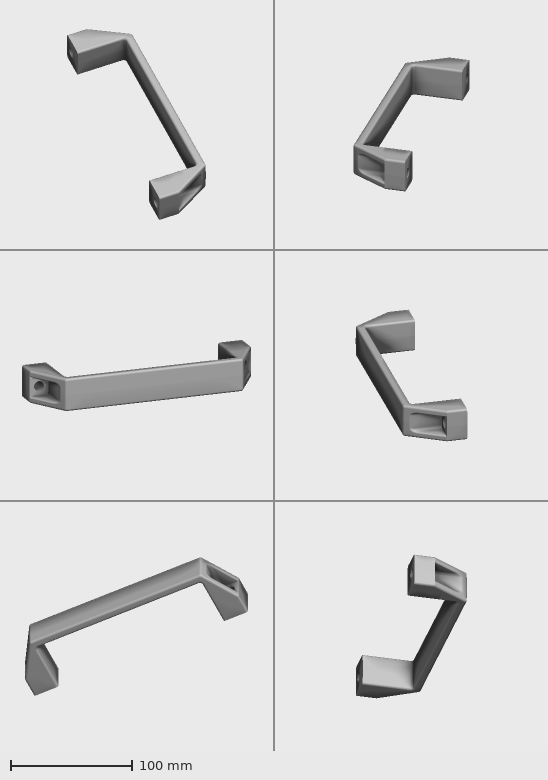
import cadquery as cq
import math

LENGTH = 196.0
DEPTH = 50.0
WIDTH = 28.0

FOOT_LENGTH = 22.7
FOOT_SIDE = 17.5
SLOPE_RUN = 19.6
GRIP_THICKNESS = 7.6

DRAFT_ANGLE = 1.0
EDGE_RADIUS = 2.0
INNER_CORNER_RADIUS = 2.5
SHOULDER_RADIUS = 2.4

RECESS_FLOOR_X = 16.7
RECESS_WIDTH = 17.2
RECESS_FLOOR_RADIUS = 3.0
RECESS_RIM_RADIUS = 1.2

HOLE_DIAMETER = 8.6
HOLE_INSET = 8.5

HALF_LENGTH = LENGTH / 2
HALF_WIDTH = WIDTH / 2
MOUNTING_FACE_Y = -DEPTH / 2
BACK_Y = DEPTH / 2
SHOULDER_Y = MOUNTING_FACE_Y + FOOT_SIDE
GRIP_INNER_Y = BACK_Y - GRIP_THICKNESS
INNER_X = HALF_LENGTH - FOOT_LENGTH
SLOPE_TOP_X = HALF_LENGTH - SLOPE_RUN
DRAFT_OFFSET = HALF_WIDTH * math.tan(math.radians(DRAFT_ANGLE))
RIM_CLEARANCE = 0.2
OVERRUN = 9.8
OUTLINE_END_Y = MOUNTING_FACE_Y - OVERRUN
CORNER_REACH = 0.5


def round_corners(half, corner_x, corner_y, radius):
    """Round the two upright corner edges at X = -corner_x and X = +corner_x."""
    for x in (-corner_x, corner_x):
        corner = cq.selectors.BoxSelector(
            (x - CORNER_REACH, corner_y - CORNER_REACH, CORNER_REACH),
            (x + CORNER_REACH, corner_y + CORNER_REACH, HALF_WIDTH - CORNER_REACH),
        )
        half = half.edges(corner).fillet(radius)
    return half


def upper_half():
    """Upper half of the handle, widest (or with the smallest opening) at the mid-plane."""
    outer = (
        cq.Workplane("XY")
        .polyline([
            (-HALF_LENGTH, OUTLINE_END_Y),
            (-HALF_LENGTH, SHOULDER_Y),
            (-SLOPE_TOP_X, BACK_Y),
            (SLOPE_TOP_X, BACK_Y),
            (HALF_LENGTH, SHOULDER_Y),
            (HALF_LENGTH, OUTLINE_END_Y),
        ])
        .close()
        .extrude(HALF_WIDTH, taper=DRAFT_ANGLE)
    )
    outer = round_corners(outer, SLOPE_TOP_X, BACK_Y, SHOULDER_RADIUS)

    opening_depth = 2 * (GRIP_INNER_Y + DRAFT_OFFSET - MOUNTING_FACE_Y)
    opening = (
        cq.Workplane("XY", origin=(0, MOUNTING_FACE_Y, HALF_WIDTH))
        .rect(2 * (INNER_X + DRAFT_OFFSET), opening_depth)
        .extrude(-HALF_WIDTH, taper=DRAFT_ANGLE)
    )
    opening = round_corners(opening, INNER_X, GRIP_INNER_Y, INNER_CORNER_RADIUS)

    below_feet = cq.Workplane("XY").box(2 * LENGTH, DEPTH, 2 * WIDTH).translate((0, -DEPTH, 0))
    half = outer.cut(opening).cut(below_feet)
    return half.faces(">Z").edges("not(<Y)").fillet(EDGE_RADIUS)


def recess(side):
    """Cutter for the recess in one shoulder; it runs out through the slope above its wall."""
    return (
        cq.Workplane("XY", origin=(side * (HALF_LENGTH + OVERRUN), (SHOULDER_Y + BACK_Y) / 2, 0))
        .box(2 * (OVERRUN + RECESS_FLOOR_X), BACK_Y - SHOULDER_Y, RECESS_WIDTH)
        .edges("|Y")
        .fillet(RECESS_FLOOR_RADIUS)
    )


def round_recess_rim(handle, side):
    """Round the edges where the recess breaks through the slope."""
    near_side = side * (HALF_LENGTH + OVERRUN)
    wall_side = side * (HALF_LENGTH - RECESS_FLOOR_X - RIM_CLEARANCE)
    rim = cq.selectors.BoxSelector(
        (near_side, SHOULDER_Y + RIM_CLEARANCE, -RECESS_WIDTH / 2 - RIM_CLEARANCE),
        (wall_side, BACK_Y, RECESS_WIDTH / 2 + RIM_CLEARANCE),
    )
    return handle.edges(rim).edges("not |Y").fillet(RECESS_RIM_RADIUS)


def screw_hole(side):
    """Cutter for the screw hole from the mounting face into the recess."""
    return (
        cq.Workplane("XZ", origin=(side * (HALF_LENGTH - HOLE_INSET), MOUNTING_FACE_Y, 0))
        .circle(HOLE_DIAMETER / 2)
        .extrude(-(FOOT_SIDE + OVERRUN))
    )


half = upper_half()
handle = half.union(half.mirror("XY"))
for side in (-1, 1):
    handle = handle.cut(recess(side))
    handle = round_recess_rim(handle, side)
    handle = handle.cut(screw_hole(side))

result = handle